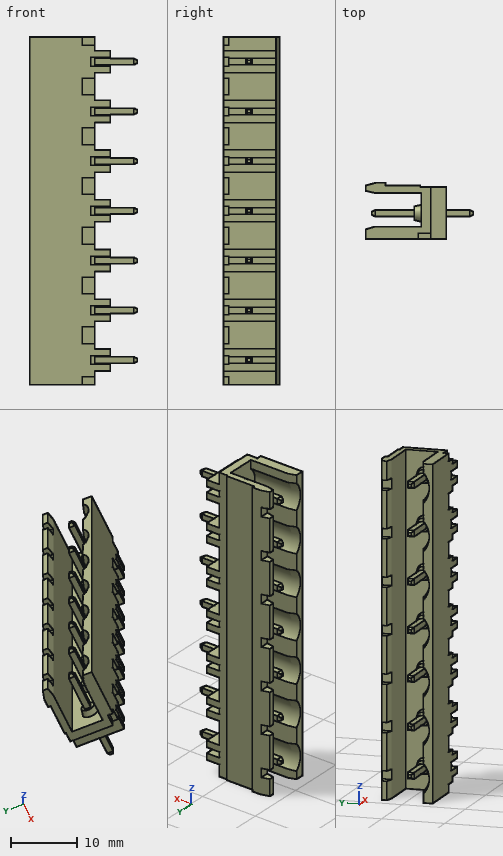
import cadquery as cq

pin_count = 7
length = 52.5
pitch = length / pin_count
pin_heights = [(i - (pin_count - 1) / 2) * pitch for i in range(pin_count)]

rear_x = 9.8
floor_x = 8.35
taper_length = 1.35
front_wall = 1.9
front_lip = 1.45
back_inner = 6.95
back_lip_inner = 7.25
back_outer = 8.1
base_outer = 7.9
base_step_x = 8.25
latch_top = 8.5
latch_peak_x = 1.5
latch_end_x = 3.0

pin_y = 3.9
pin_size = 1.0
pin_start_x = 0.9
pin_end_x = 16.2
pin_tip_length = 0.5
pin_tip_size = 0.45
collar_x = 7.3
collar_top_diameter = 2.1
collar_base_diameter = 2.55

clearance_radius = 3.0
flare_radius = 3.35

notch_width = 1.6

foot_end_x = 12.2
foot_span = 3.35
slot_mouth_width = 1.3
slot_start_x = 9.2
pocket_x = 7.95
recess_depth = 0.85
pocket_height = 2.5


def block(x_range, y_range, z_center, height):
    """Box between two X and two Y places, centred on a height in Z."""
    x0, x1 = x_range
    y0, y1 = y_range
    return cq.Workplane("XY").box(x1 - x0, y1 - y0, height).translate(
        ((x0 + x1) / 2, (y0 + y1) / 2, z_center)
    )


def along_x(x, z):
    """Sketch plane facing +X on the axis of one pin."""
    return cq.Workplane("YZ", origin=(x, pin_y, z))


def make_shroud():
    outline = [
        (0, 0),
        (rear_x, 0),
        (rear_x, base_outer),
        (base_step_x, base_outer),
        (base_step_x, back_outer),
        (latch_end_x, back_outer),
        (latch_end_x, latch_top),
        (latch_peak_x, latch_top),
        (0, back_outer),
        (0, back_lip_inner),
        (taper_length, back_inner),
        (floor_x, back_inner),
        (floor_x, front_wall),
        (taper_length, front_wall),
        (0, front_lip),
    ]
    return cq.Workplane("XY").polyline(outline).close().extrude(length / 2, both=True)


def make_clearance(z):
    bore = along_x(0, z).circle(clearance_radius).extrude(floor_x)
    flare = (
        along_x(0, z)
        .circle(flare_radius)
        .workplane(offset=taper_length)
        .circle(clearance_radius)
        .loft()
    )
    return bore.union(flare)


def make_pin(z):
    shank_start = pin_start_x + pin_tip_length
    shank_end = pin_end_x - pin_tip_length
    pin = along_x(shank_start, z).rect(pin_size, pin_size).extrude(shank_end - shank_start)
    for x, tip_offset in ((shank_start, -pin_tip_length), (shank_end, pin_tip_length)):
        tip = (
            along_x(x, z)
            .rect(pin_size, pin_size)
            .workplane(offset=tip_offset)
            .rect(pin_tip_size, pin_tip_size)
            .loft()
        )
        pin = pin.union(tip)
    return pin


def make_collar(z):
    return (
        along_x(collar_x, z)
        .circle(collar_top_diameter / 2)
        .workplane(offset=floor_x - collar_x)
        .circle(collar_base_diameter / 2)
        .loft()
    )


def make_feet(z):
    """Pair of feet: the slot between them is pin-wide behind the front recess."""
    feet = block((rear_x, foot_end_x), (0, base_outer), z, foot_span)
    return feet.cut(block((rear_x, foot_end_x), (0, base_outer), z, pin_size))


body = make_shroud()

for z in pin_heights:
    body = body.cut(make_clearance(z))
    latch_notch = block((0, taper_length), (back_inner, latch_top), z, notch_width)
    body = body.cut(latch_notch).union(make_feet(z))
    slot_mouth = block((slot_start_x, foot_end_x), (0, recess_depth), z, slot_mouth_width)
    body = body.cut(slot_mouth)
    body = body.union(make_collar(z)).union(make_pin(z))

for i in range(pin_count + 1):
    pocket_z = i * pitch - length / 2
    body = body.cut(block((pocket_x, rear_x), (0, recess_depth), pocket_z, pocket_height))

result = body